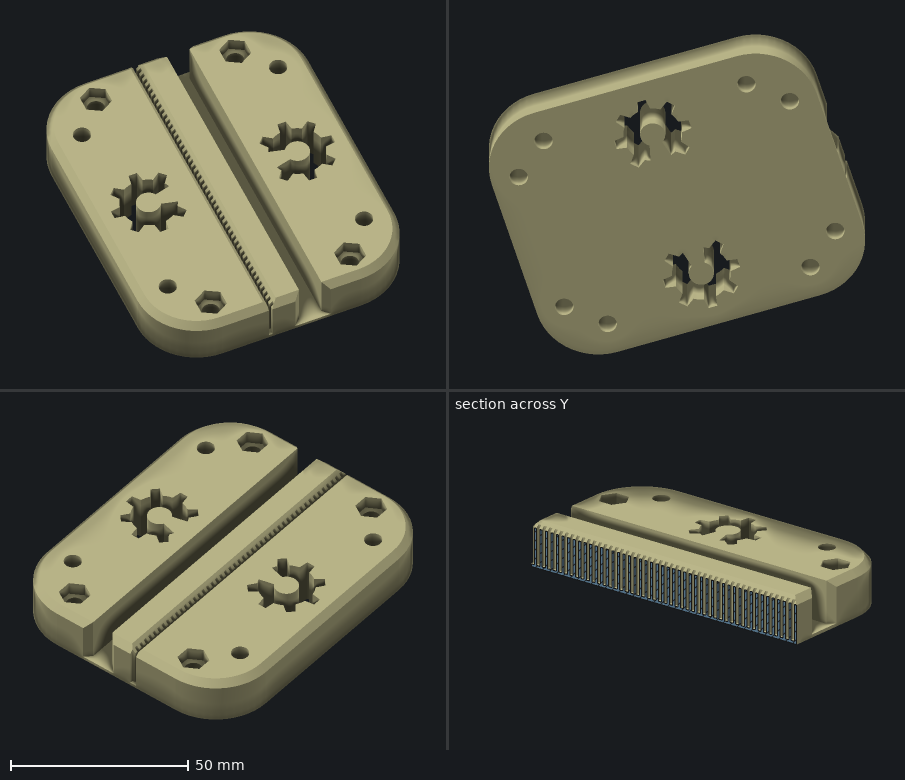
import cadquery as cq

length = 96.0
width = 79.0
height = 14.0
corner_radius = 18.0
edge_chamfer = 2.0

floor_thickness = 1.0
channel_width = 6.9
channel_y = 6.5
channel_flare = 2.0

belt_slot_width = 2.0
belt_slot_y = -6.0
belt_slot_chamfer = 1.0
belt_tooth_count = 48
belt_tooth_depth = 1.0
belt_pitch = length / belt_tooth_count
belt_tooth_width = belt_pitch / 2

hole_diameter = 5.2
plain_hole_x = length / 2 - corner_radius
plain_hole_y = 30.2
nut_hole_x = 40.0
nut_hole_y = width / 2 - corner_radius
nut_corner_diameter = 9.1
nut_pocket_depth = 4.0

gear_y = 22.9
gear_root_radius = 8.3
gear_tip_radius = 11.0
gear_tooth_start = 8.0
gear_tooth_base_width = 3.6
gear_tooth_tip_width = 2.6
gear_tooth_spacing = 45
lug_radius = 3.6
lug_neck_start = 2.9
lug_neck_inner_width = 3.6
lug_neck_outer_width = 6.3


def four_way(x, y):
    return [(x, y), (-x, y), (-x, -y), (x, -y)]


def plate():
    body = cq.Workplane("XY").rect(length, width).extrude(height)
    body = body.edges("|Z").fillet(corner_radius)
    return body.faces(">Z").chamfer(edge_chamfer)


def channel():
    half_length = length / 2
    half_width = channel_width / 2
    flare_x = half_length - channel_flare
    flare_half_width = half_width + channel_flare
    return (
        cq.Workplane("XY", origin=(0, channel_y, floor_thickness))
        .moveTo(-half_length, -flare_half_width)
        .lineTo(-flare_x, -half_width)
        .lineTo(flare_x, -half_width)
        .lineTo(half_length, -flare_half_width)
        .lineTo(half_length, flare_half_width)
        .lineTo(flare_x, half_width)
        .lineTo(-flare_x, half_width)
        .lineTo(-half_length, flare_half_width)
        .close()
        .extrude(height - floor_thickness)
    )


def belt_slot():
    """Chamfered slot, less the belt teeth standing on its +Y wall."""
    half_width = belt_slot_width / 2
    mouth_half_width = half_width + belt_slot_chamfer
    chamfer_z = height - belt_slot_chamfer
    slot = (
        cq.Workplane("YZ", origin=(-length / 2, belt_slot_y, 0))
        .moveTo(-half_width, floor_thickness)
        .lineTo(half_width, floor_thickness)
        .lineTo(half_width, chamfer_z)
        .lineTo(mouth_half_width, height)
        .lineTo(-mouth_half_width, height)
        .lineTo(-half_width, chamfer_z)
        .close()
        .extrude(length)
    )
    tooth = (
        cq.Workplane("YZ", origin=(0, belt_slot_y + half_width, 0))
        .moveTo(0, floor_thickness)
        .lineTo(0, chamfer_z)
        .lineTo(-belt_tooth_depth, chamfer_z - belt_tooth_depth)
        .lineTo(-belt_tooth_depth, floor_thickness)
        .close()
        .extrude(belt_tooth_width)
        .val()
    )
    first_tooth_x = -length / 2 + belt_pitch - belt_tooth_width
    teeth = [
        tooth.translate(cq.Vector(first_tooth_x + i * belt_pitch, 0, 0))
        for i in range(belt_tooth_count)
    ]
    return cq.Workplane(slot.val().cut(*teeth))


def screw_holes():
    points = four_way(plain_hole_x, plain_hole_y) + four_way(nut_hole_x, nut_hole_y)
    return cq.Workplane("XY").pushPoints(points).circle(hole_diameter / 2).extrude(height)


def nut_pockets():
    return (
        cq.Workplane("XY", origin=(0, 0, height - nut_pocket_depth))
        .pushPoints(four_way(nut_hole_x, nut_hole_y))
        .polygon(6, nut_corner_diameter)
        .extrude(nut_pocket_depth)
    )


def tapered_bar(start_radius, end_radius, start_width, end_width):
    """Full-height trapezoid pointing along -Y from the Z axis."""
    return (
        cq.Workplane("XY")
        .moveTo(-start_width / 2, -start_radius)
        .lineTo(-end_width / 2, -end_radius)
        .lineTo(end_width / 2, -end_radius)
        .lineTo(start_width / 2, -start_radius)
        .close()
        .extrude(height)
    )


def gear_cutout():
    """Cutout at +Y, with its lug facing -Y."""
    gear = cq.Workplane("XY").circle(gear_root_radius).extrude(height)
    tooth = tapered_bar(
        gear_tooth_start, gear_tip_radius, gear_tooth_base_width, gear_tooth_tip_width
    )
    for angle in range(gear_tooth_spacing, 360, gear_tooth_spacing):
        gear = gear.union(tooth.rotate((0, 0, 0), (0, 0, 1), angle))
    lug = cq.Workplane("XY").circle(lug_radius).extrude(height)
    neck = tapered_bar(
        lug_neck_start, gear_root_radius, lug_neck_inner_width, lug_neck_outer_width
    )
    return gear.cut(lug).cut(neck).translate((0, gear_y, 0))


gear = gear_cutout()
result = (
    plate()
    .cut(channel())
    .cut(belt_slot())
    .cut(screw_holes())
    .cut(nut_pockets())
    .cut(gear)
    .cut(gear.mirror("XZ"))
)